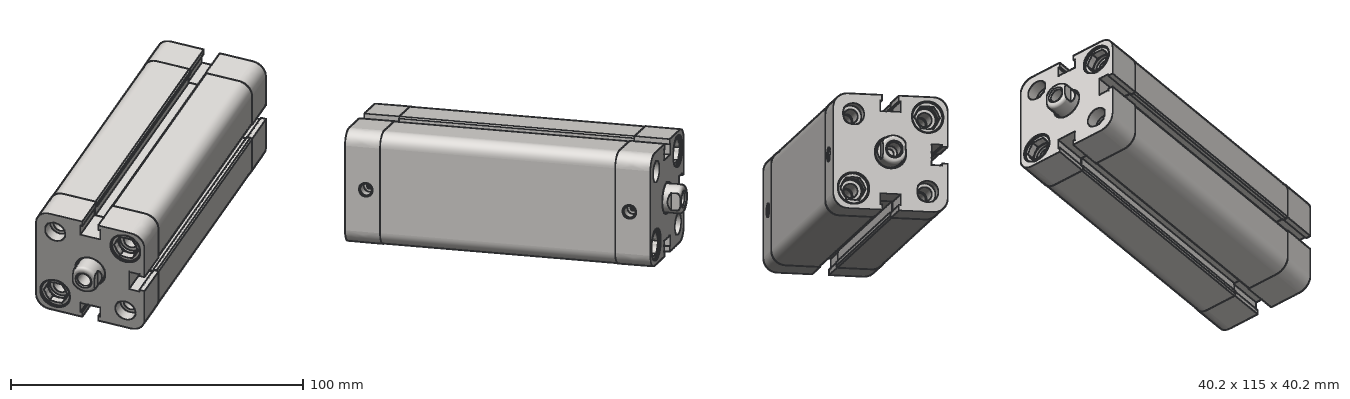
import cadquery as cq
import math

total_length = 115.0
rod_projection = 6.0
cap_length = 12.5
front_y = -total_length / 2
cap_front_y = front_y + rod_projection
rear_y = total_length / 2
tube_front_y = cap_front_y + cap_length
tube_rear_y = rear_y - cap_length

cap_width = 40.2
cap_draft = 0.25
tube_width = 40.0
flat_width = 30.1

slot_depth = 5.8
cap_slot_floor = cap_width / 2 - slot_depth
tube_slot_extra_depth = 0.1
tube_slot_floor = cap_slot_floor - tube_slot_extra_depth
lip_thickness = 2.0
lip_underside = cap_width / 2 - lip_thickness
cap_mouth_width = 5.9
cap_slot_width = 7.2
tube_mouth_width = 5.3
tube_mouth_chamfer = 0.6
tube_slot_width = 6.5

hole_offset = 13.0
through_diameter = 4.1
thread_diameter = 5.0
counterbore_diameter = 7.5
counterbore_depth = 4.5
socket_rim_diameter = 11.2
socket_bore_diameter = 10.5
socket_bore_depth = 0.7
hex_corner_diameter = 9.0
hex_depth = 2.8
socket_core_diameter = 8.0
socket_pilot_diameter = 7.6
socket_pilot_depth = 4.0

port_distance = 7.5
port_diameter = 4.1
port_rim_diameter = 5.0
port_depth = 4.6
port_passage_diameter = 2.0
port_passage_depth = 5.8

rod_diameter = 10.0
rod_end_radius = 1.3
rod_flats_width = 7.9
flats_distance = 2.6
rod_clearance_diameter = 10.8
rod_clearance_rim = 11.2
rod_clearance_depth = 1.2
rod_bore_diameter = 5.0
rod_bore_rim_diameter = 6.0
rod_bore_depth = 6.9
rod_bore_tip_diameter = 3.1
rod_bore_tip_depth = 1.2

overcut = 1.2


def cross_plane(y):
    """Plane normal to the axis at y, with its normal toward +Y, local x = X and local y = -Z."""
    return cq.Plane(origin=(0, y, 0), xDir=(1, 0, 0), normal=(0, 1, 0))


def round_square(width, y, length, draft=0):
    """Rounded square bar from y toward +Y (or -Y for a negative length)."""
    corner_radius = (width - flat_width) / 2
    section = cq.Sketch().rect(width, width).vertices().fillet(corner_radius)
    return cq.Workplane(cross_plane(y)).placeSketch(section).extrude(length, taper=draft)


def round_bar(diameter, y, length):
    """Round bar on the cylinder axis, from y toward +Y."""
    return cq.Workplane(cross_plane(y)).circle(diameter / 2).extrude(length)


def cone(start_diameter, end_diameter, y, length):
    """Conical bar on the cylinder axis, from y toward +Y."""
    solid = cq.Solid.makeCone(
        start_diameter / 2, end_diameter / 2, length, cq.Vector(0, y, 0), cq.Vector(0, 1, 0)
    )
    return cq.Workplane(solid)


def chamfered_mouth(rim_diameter, bore_diameter, y):
    """45 degree countersink from the rim down to the bore."""
    return cone(rim_diameter, bore_diameter, y, (rim_diameter - bore_diameter) / 2)


def slot_shape(half_outline, y, length):
    """Undercut slot opening toward +Z, mirrored from its +X half outline of (x, z) points."""
    outline = [(x, -z) for x, z in half_outline]
    outline += [(-x, -z) for x, z in reversed(half_outline)]
    return cq.Workplane(cross_plane(y)).polyline(outline).close().extrude(length)


def cut_slots(body, half_outline, y, length):
    """Cut the slot into the +Z, +X and -Z sides."""
    slot = slot_shape(half_outline, y, length)
    for angle in (0, 90, 180):
        body = body.cut(slot.rotate((0, 0, 0), (0, 1, 0), angle))
    return body


tube_surface = tube_width / 2
tube_slot_outline = [
    (tube_slot_width / 2, tube_slot_floor),
    (tube_slot_width / 2, lip_underside),
    (tube_mouth_width / 2, lip_underside),
    (tube_mouth_width / 2, tube_surface - tube_mouth_chamfer),
    (tube_mouth_width / 2 + tube_mouth_chamfer, tube_surface),
    (tube_mouth_width / 2 + tube_mouth_chamfer, tube_surface + overcut),
]
tube_length = tube_rear_y - tube_front_y
tube = round_square(tube_width, tube_front_y, tube_length)
tube = cut_slots(tube, tube_slot_outline, tube_front_y, tube_length)

cap_slot_outline = [
    (cap_slot_width / 2, cap_slot_floor),
    (cap_slot_width / 2, lip_underside),
    (cap_mouth_width / 2, lip_underside),
    (cap_mouth_width / 2, cap_width / 2 + overcut),
]
front_cap = round_square(cap_width, tube_front_y, -cap_length, cap_draft)
front_cap = cut_slots(front_cap, cap_slot_outline, cap_front_y, cap_length)
rear_cap = round_square(cap_width, tube_rear_y, cap_length, cap_draft)
rear_cap = cut_slots(rear_cap, cap_slot_outline, tube_rear_y, cap_length)
body = tube.union(front_cap).union(rear_cap)

body = body.cut(round_bar(rod_clearance_diameter, cap_front_y, rod_clearance_depth))
body = body.cut(chamfered_mouth(rod_clearance_rim, rod_clearance_diameter, cap_front_y))


def through_hole():
    """Long bolt hole, wider where it is threaded in the front cap."""
    bore = round_bar(through_diameter, cap_front_y, rear_y - cap_front_y)
    return bore.union(round_bar(thread_diameter, cap_front_y, cap_length))


def counterbored_hole():
    """Bolt hole with a plain counterbore."""
    return through_hole().union(round_bar(counterbore_diameter, cap_front_y, counterbore_depth))


def socket_hole():
    """Bolt hole with a chamfered recess and a hexagon socket, bored out between its corners."""
    hex_y = cap_front_y + socket_bore_depth
    hexagon = cq.Workplane(cross_plane(hex_y)).polygon(6, hex_corner_diameter).extrude(hex_depth)
    recess = round_bar(socket_bore_diameter, cap_front_y, socket_bore_depth)
    rim = chamfered_mouth(socket_rim_diameter, socket_bore_diameter, cap_front_y)
    core = round_bar(socket_core_diameter, hex_y, hex_depth)
    pilot = round_bar(socket_pilot_diameter, hex_y, socket_pilot_depth)
    return through_hole().union(recess).union(rim).union(hexagon).union(core).union(pilot)


for side in (-1, 1):
    x = side * hole_offset
    body = body.cut(socket_hole().translate((x, 0, x)))
    body = body.cut(counterbored_hole().translate((x, 0, -x)))


def port():
    """Chamfered port with a narrow passage, running toward +X from the -X face."""
    bore = round_bar(port_diameter, -overcut, port_depth + overcut)
    passage = round_bar(port_passage_diameter, 0, port_passage_depth)
    rim = chamfered_mouth(port_rim_diameter, port_diameter, 0)
    return bore.union(passage).union(rim).rotate((0, 0, 0), (0, 0, 1), -90)


port_inset = (cap_length - port_distance) * math.tan(math.radians(cap_draft))
for y in (cap_front_y + port_distance, rear_y - port_distance):
    body = body.cut(port().translate((port_inset - cap_width / 2, y, 0)))

rod_length = rod_projection + rod_clearance_depth
rod = round_bar(rod_diameter, front_y, rod_length).faces("<Y").edges().fillet(rod_end_radius)

flat_end_y = cap_front_y - flats_distance
flat_x = rod_flats_width / 2
flat_cut_depth = rod_diameter / 2 - flat_x + overcut
flat_cutter = (
    cq.Workplane("XY", origin=(0, 0, -rod_diameter / 2))
    .moveTo(flat_x, front_y - overcut)
    .lineTo(flat_x, flat_end_y)
    .lineTo(flat_x + flat_cut_depth, flat_end_y + flat_cut_depth)
    .lineTo(flat_x + flat_cut_depth, front_y - overcut)
    .close()
    .extrude(rod_diameter)
)
rod = rod.cut(flat_cutter).cut(flat_cutter.mirror("YZ"))
body = body.union(rod)

rod_bore_tip_y = front_y + rod_bore_depth
body = body.cut(round_bar(rod_bore_diameter, front_y, rod_bore_depth))
body = body.cut(chamfered_mouth(rod_bore_rim_diameter, rod_bore_diameter, front_y))
body = body.cut(cone(rod_bore_diameter, rod_bore_tip_diameter, rod_bore_tip_y, rod_bore_tip_depth))

result = body